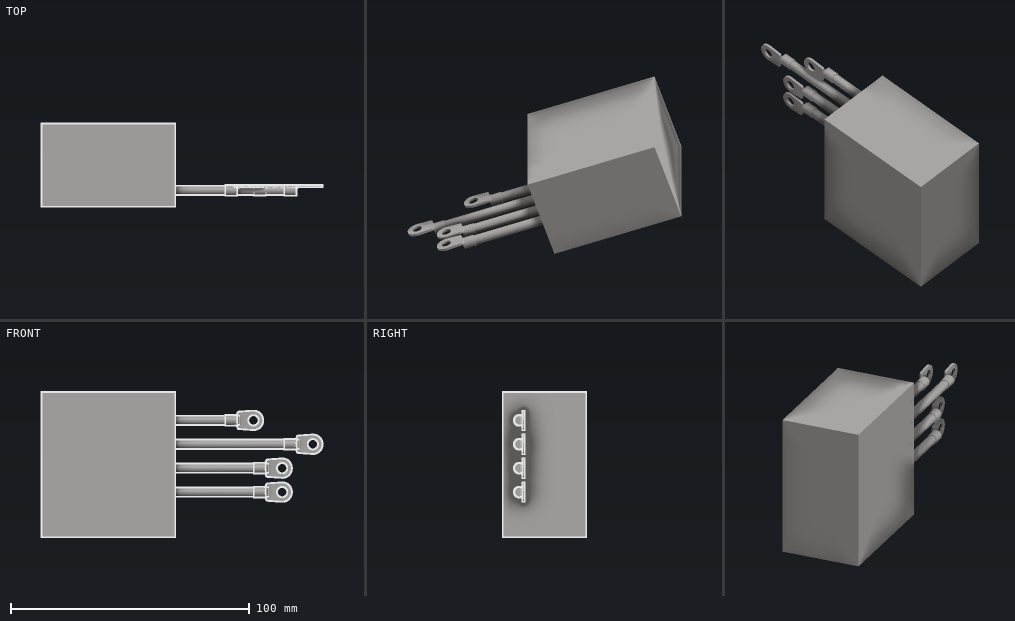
import cadquery as cq
import math

HOUSING_X = 56.2
HOUSING_Y = 35.0
HOUSING_Z = 61.0

CABLE_RADIUS = 2.0
CABLE_Y = 7.0
LOWEST_CABLE_Z = 19.0
CABLE_PITCH = 10.0

SLEEVE_RADIUS = 2.3
SLEEVE_LENGTH = 5.1
RING_RADIUS = 4.1
HOLE_RADIUS = 2.1
SLEEVE_TO_HOLE = 6.8
TONGUE_THICKNESS = 1.1
TONGUE_HALF_WIDTH = 3.7
CORNER_RADIUS = 1.0
ROOT_FILLET = 1.0

LONGEST_HOLE_X = 118 - RING_RADIUS
HOLE_XS = [101.0, 101.0, LONGEST_HOLE_X, 89.0]


def make_housing():
    return cq.Workplane("XY").box(HOUSING_X, HOUSING_Y, HOUSING_Z, centered=False)


def make_rod(start_x, end_x, radius):
    """Round rod along +X on the local axis."""
    return cq.Workplane("YZ", origin=(start_x, 0, 0)).circle(radius).extrude(end_x - start_x)


def make_tongue(root_x, hole_x):
    """Flat tongue that widens into a ring; its back face is flush with the back of the sleeve."""
    length = hole_x - root_x
    to_corner = math.hypot(length, TONGUE_HALF_WIDTH)
    tangent_angle = (
        math.pi - math.atan2(TONGUE_HALF_WIDTH, length) - math.acos(RING_RADIUS / to_corner)
    )
    tangent_x = hole_x + RING_RADIUS * math.cos(tangent_angle)
    tangent_z = RING_RADIUS * math.sin(tangent_angle)
    tongue = (
        cq.Workplane("XZ", origin=(0, SLEEVE_RADIUS, 0))
        .moveTo(root_x, -TONGUE_HALF_WIDTH)
        .lineTo(tangent_x, -tangent_z)
        .threePointArc((hole_x + RING_RADIUS, 0), (tangent_x, tangent_z))
        .lineTo(root_x, TONGUE_HALF_WIDTH)
        .close()
        .extrude(TONGUE_THICKNESS)
    )
    tongue = tongue.edges("|Y and <X").fillet(CORNER_RADIUS)
    hole = (
        cq.Workplane("XZ", origin=(hole_x, SLEEVE_RADIUS, 0))
        .circle(HOLE_RADIUS)
        .extrude(TONGUE_THICKNESS)
    )
    return tongue.cut(hole)


def make_end_fillet(root_x):
    """Concave fillet between the end of the sleeve and the front face of the tongue."""
    front_y = SLEEVE_RADIUS - TONGUE_THICKNESS
    arc_offset = ROOT_FILLET * (1 - math.sqrt(0.5))
    fillet = (
        cq.Workplane("XY", origin=(0, 0, -SLEEVE_RADIUS))
        .moveTo(root_x, front_y)
        .lineTo(root_x, front_y - ROOT_FILLET)
        .threePointArc((root_x + arc_offset, front_y - arc_offset), (root_x + ROOT_FILLET, front_y))
        .close()
        .extrude(2 * SLEEVE_RADIUS)
    )
    return fillet.intersect(make_rod(root_x, root_x + ROOT_FILLET, SLEEVE_RADIUS))


def make_flank_fillet(root_x):
    """Concave fillet between the round sleeve and the rear edge of the tongue, as thick as the tongue."""
    arc_offset = ROOT_FILLET * (1 - math.sqrt(0.5))
    flare = (
        cq.Workplane("XY")
        .moveTo(root_x - ROOT_FILLET, 0)
        .lineTo(root_x - ROOT_FILLET, SLEEVE_RADIUS)
        .threePointArc(
            (root_x - arc_offset, SLEEVE_RADIUS + arc_offset), (root_x, SLEEVE_RADIUS + ROOT_FILLET)
        )
        .lineTo(root_x, 0)
        .close()
        .revolve(360, (0, 0, 0), (1, 0, 0))
    )
    slab = cq.Workplane("XY", origin=(root_x, SLEEVE_RADIUS - TONGUE_THICKNESS / 2, 0)).box(
        2 * ROOT_FILLET, TONGUE_THICKNESS, 2 * TONGUE_HALF_WIDTH
    )
    return flare.intersect(slab)


def make_cable(hole_x, z):
    """Cable with its crimped ring lug, as one solid."""
    sleeve_end_x = hole_x - SLEEVE_TO_HOLE
    sleeve_start_x = sleeve_end_x - SLEEVE_LENGTH
    return (
        make_rod(HOUSING_X, sleeve_start_x, CABLE_RADIUS)
        .union(make_rod(sleeve_start_x, sleeve_end_x, SLEEVE_RADIUS))
        .union(make_tongue(sleeve_end_x, hole_x))
        .union(make_flank_fillet(sleeve_end_x))
        .union(make_end_fillet(sleeve_end_x))
        .translate((0, CABLE_Y, z))
    )


housing = make_housing()
cables = [
    make_cable(hole_x, LOWEST_CABLE_Z + index * CABLE_PITCH) for index, hole_x in enumerate(HOLE_XS)
]

result = cq.Compound.makeCompound([housing.val(), *[cable.val() for cable in cables]])